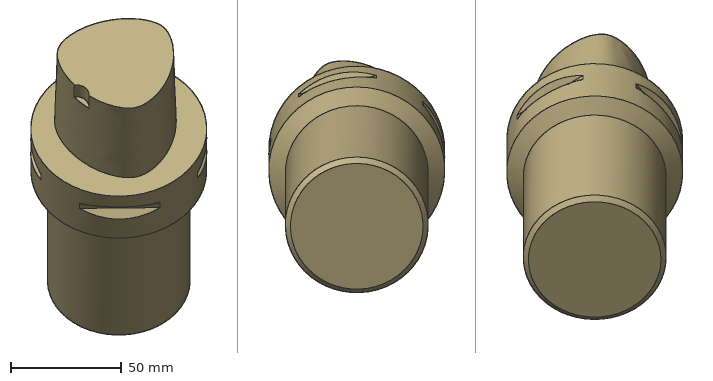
import cadquery as cq
import math

total_height = 158.0
shank_height = 48.0
flange_height = 29.9
shank_base_z = total_height - shank_height
flange_bottom_z = shank_base_z - flange_height

flange_radius = 80.0 / 2
body_radius = 65.0 / 2
cone_angle = 30.0
end_chamfer_width = 2.4
end_chamfer_height = 2.0

shank_base_width = 55.3
shank_taper = 1 / 20
shank_top_width = shank_base_width - shank_taper * shank_height
lobe_size = 2.0
lobe_count = 3

notch_radius = 6.0
notch_centre_y = -28.0
notch_depth = 8.5

groove_count = 4
groove_first_angle = 45.0
groove_floor_distance = 35.5
groove_floor_height = 3.5
groove_side_angle = 30.0
groove_centre_z = shank_base_z - 12.0


def make_round_body():
    """Flange with a conical underside above a chamfered cylinder."""
    cone_height = (flange_radius - body_radius) * math.tan(math.radians(cone_angle))
    half_section = [
        (0, 0),
        (body_radius - end_chamfer_width, 0),
        (body_radius, end_chamfer_height),
        (body_radius, flange_bottom_z - cone_height),
        (flange_radius, flange_bottom_z),
        (flange_radius, shank_base_z),
        (0, shank_base_z),
    ]
    return cq.Workplane("XZ").polyline(half_section).close().revolve(360, (0, 0), (0, 1))


def lobed_wire(width, z):
    """Constant-width outline with three rounded lobes, one pointing to +Y."""
    def point(fraction):
        lobe_angle = 2 * math.pi * fraction
        support = width / 2 + lobe_size * math.cos(lobe_count * lobe_angle)
        slope = -lobe_count * lobe_size * math.sin(lobe_count * lobe_angle)
        along = support * math.cos(lobe_angle) - slope * math.sin(lobe_angle)
        across = support * math.sin(lobe_angle) + slope * math.cos(lobe_angle)
        return (-across, along, z)

    samples = 36
    points = [cq.Vector(*point(i / samples)) for i in range(samples)]
    return cq.Wire.assembleEdges([cq.Edge.makeSpline(points, periodic=True)])


def make_shank():
    base = lobed_wire(shank_base_width, shank_base_z)
    top = lobed_wire(shank_top_width, total_height)
    shank = cq.Workplane(cq.Solid.makeLoft([base, top], True))
    notch = (
        cq.Workplane("XY", origin=(0, notch_centre_y, total_height - notch_depth))
        .circle(notch_radius)
        .extrude(notch_depth)
    )
    return shank.cut(notch)


def make_groove(angle):
    """Straight groove across the flange rim, flaring outward from a flat floor."""
    groove_depth = flange_radius - groove_floor_distance
    half_floor = groove_floor_height / 2
    half_mouth = half_floor + groove_depth * math.tan(math.radians(groove_side_angle))
    section = [
        (groove_floor_distance, -half_floor),
        (flange_radius, -half_mouth),
        (flange_radius, half_mouth),
        (groove_floor_distance, half_floor),
    ]
    return (
        cq.Workplane("XZ", origin=(0, 0, groove_centre_z))
        .polyline(section)
        .close()
        .extrude(flange_radius, both=True)
        .rotate((0, 0, 0), (0, 0, 1), angle)
    )


result = make_round_body().union(make_shank())
for index in range(groove_count):
    result = result.cut(make_groove(groove_first_angle + index * 360 / groove_count))